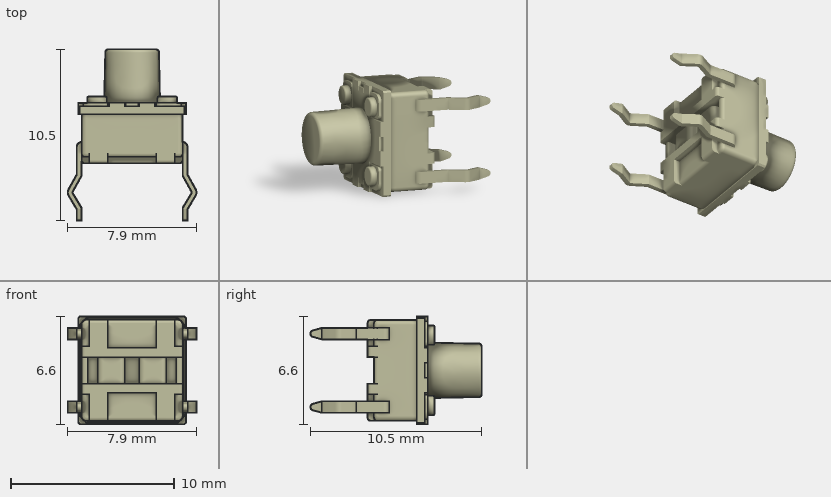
import cadquery as cq
import math


PLATE_WIDTH = 6.6
PLATE_CHAMFER = 0.1
PLATE_TOP = 0.7
RAISED_HEIGHT = 0.19
RIM_Y = PLATE_TOP - RAISED_HEIGHT
SEAT_HALF_WIDTH = 3.24
SEAT_CORNER_CUT = 0.49
SEAT_DEPTH = 0.1
SEAT_DRAFT = 45

PAD_INNER = 1.49
PAD_OUTER = 3.0
PAD_OUTER_RADIUS = 0.49
PAD_INNER_RADIUS = 0.26
CROSS_ARM_HALF_WIDTH = 1.39
SLOT_HALF_WIDTH = 0.45
TONGUE_HALF_WIDTH = 0.38
TONGUE_GAP_DEPTH = 0.29

BUTTON_TOP = 4.0
BUTTON_TOP_RADIUS = 1.65
BUTTON_BASE_RADIUS = 1.72
BUTTON_FILLET = 0.2
RIVET_RADIUS = 0.6
RIVET_OFFSET = 2.15
RIVET_HEIGHT = 0.4
RIVET_FILLET = 0.09

BODY_WIDTH = 6.2
BODY_HALF = BODY_WIDTH / 2
BODY_BOTTOM = -2.6
BODY_CORNER_RADIUS = 0.29
BOTTOM_FILLET = 0.21
BAR_BOTTOM = -3.0
BAR_INNER_Z = 0.81
BAR_STRIP_Z = 1.47
BAR_BLOCK_HALF_X = 2.61
POCKET_HALF_X = 1.49
POCKET_INNER_Z = 1.39

GROOVE_DEPTH = 0.6
GROOVE_FLOOR_FILLET = 0.09
RIDGE_FILLET = 0.3
RIM_FILLET = 0.1
MIDDLE_GROOVE_HALF_X = 0.44
SIDE_GROOVE_INNER_X = 2.1
SIDE_GROOVE_OUTER_X = 2.71

LEAD_THICKNESS = 0.3
LEAD_WIDTH = 0.72
LEAD_Z = 2.25
LEAD_TOP = -1.67
LEAD_TOP_RADIUS = 0.35
LEAD_REACH = 3.95
LEAD_APEX_Y = -4.78
LEAD_UPPER_ANGLE = 29
LEAD_LOWER_ANGLE = 31
LEAD_BEND_RADIUS = 0.4
TIP_START = -5.78
TIP_TAPER_END = -6.36
TIP_HALF_WIDTH = 0.2
LEAD_END = -6.5

SIGNS = (-1, 1)
QUADRANTS = [(sx, sz) for sx in SIGNS for sz in SIGNS]


def layer(y_top):
    """Sketch plane at height y_top whose extrusions run toward -Y."""
    return cq.Workplane("XZ", origin=(0, y_top, 0))


def block(x_range, y_range, z_range):
    """Box between the given (low, high) limits."""
    low, high = zip(x_range, y_range, z_range)
    sizes = [b - a for a, b in zip(low, high)]
    return cq.Workplane("XY").box(*sizes, centered=False).translate(low)


def to_quadrant(shape, sx, sz):
    """Mirror a shape built at +X +Z into the quadrant with the given signs."""
    if sx < 0:
        shape = shape.mirror("YZ")
    if sz < 0:
        shape = shape.mirror("XY")
    return shape


def make_plate():
    plate = layer(RIM_Y).rect(PLATE_WIDTH, PLATE_WIDTH).extrude(RIM_Y)
    plate = plate.edges("|Y").chamfer(PLATE_CHAMFER)
    outer = SEAT_HALF_WIDTH
    inner = SEAT_HALF_WIDTH - SEAT_CORNER_CUT
    corners = [(outer, -inner), (outer, inner), (inner, outer), (-inner, outer)]
    corners += [(-x, -y) for x, y in corners]
    seat = layer(0).polyline(corners).close().extrude(-SEAT_DEPTH, taper=SEAT_DRAFT)
    return plate.cut(seat)


def make_pad():
    """Rounded square around one rivet, at +X +Z."""
    middle = (PAD_OUTER + PAD_INNER) / 2
    size = PAD_OUTER - PAD_INNER
    pad = layer(PLATE_TOP).center(middle, middle).rect(size, size).extrude(RAISED_HEIGHT)
    pad = pad.edges("|Y").edges(">X and >Z").fillet(PAD_OUTER_RADIUS)
    return pad.edges("|Y").edges("(>X and <Z) or (<X and >Z)").fillet(PAD_INNER_RADIUS)


def make_cross():
    """Raised cross with a slot in the end of each arm; the slots at +Z and -Z hold a tongue."""
    half = PLATE_WIDTH / 2
    arm_width = 2 * CROSS_ARM_HALF_WIDTH
    cross = layer(PLATE_TOP).rect(PLATE_WIDTH, arm_width).extrude(RAISED_HEIGHT)
    cross = cross.union(layer(PLATE_TOP).rect(arm_width, PLATE_WIDTH).extrude(RAISED_HEIGHT))
    heights = (RIM_Y, PLATE_TOP)
    slot_width = (-SLOT_HALF_WIDTH, SLOT_HALF_WIDTH)
    tongue_width = (-TONGUE_HALF_WIDTH, TONGUE_HALF_WIDTH)
    side_slot = block((PAD_OUTER, half), heights, slot_width)
    slot = block(slot_width, heights, (PAD_OUTER - TONGUE_GAP_DEPTH, half))
    tongue = block(tongue_width, heights, (PAD_OUTER - TONGUE_GAP_DEPTH, PAD_OUTER))
    slot = slot.cut(tongue)
    cross = cross.cut(side_slot).cut(side_slot.mirror("YZ"))
    return cross.cut(slot).cut(slot.mirror("XY"))


def make_button():
    profile = [
        (0, RIM_Y),
        (BUTTON_BASE_RADIUS, RIM_Y),
        (BUTTON_BASE_RADIUS, PLATE_TOP),
        (BUTTON_TOP_RADIUS, BUTTON_TOP),
        (0, BUTTON_TOP),
    ]
    button = cq.Workplane("XY").polyline(profile).close().revolve(360, (0, 0), (0, 1))
    return button.faces(">Y").edges().fillet(BUTTON_FILLET)


def make_rivet():
    """Rivet head at +X +Z."""
    rivet = layer(PLATE_TOP + RIVET_HEIGHT).center(RIVET_OFFSET, RIVET_OFFSET).circle(RIVET_RADIUS)
    rivet = rivet.extrude(RIVET_HEIGHT + RAISED_HEIGHT)
    return rivet.faces(">Y").edges().fillet(RIVET_FILLET)


def make_housing():
    housing = layer(SEAT_DEPTH).rect(BODY_WIDTH, BODY_WIDTH).extrude(SEAT_DEPTH - BODY_BOTTOM)
    housing = housing.edges("|Y").fillet(BODY_CORNER_RADIUS)
    return housing.faces("<Y").edges().fillet(BOTTOM_FILLET)


def make_bar():
    """Bar under the housing on the +Z side: a full-width strip plus a block with a pocket."""
    heights = (BAR_BOTTOM, BODY_BOTTOM + BOTTOM_FILLET)
    strip = block((-BODY_HALF, BODY_HALF), heights, (BAR_INNER_Z, BAR_STRIP_Z))
    strip = strip.faces("<Y").edges("|Z").fillet(BOTTOM_FILLET)
    bar = block((-BAR_BLOCK_HALF_X, BAR_BLOCK_HALF_X), heights, (BAR_INNER_Z, BODY_HALF))
    bar = bar.faces("<Y").edges(">Z").fillet(BOTTOM_FILLET)
    pocket = block((-POCKET_HALF_X, POCKET_HALF_X), heights, (POCKET_INNER_Z, BODY_HALF))
    return bar.union(strip).cut(pocket)


def make_groove(left, right, left_mouth, right_mouth):
    """Cutter for a groove between walls at x = left and x = right with rounded mouth edges."""
    mouth = BODY_BOTTOM
    floor = BODY_BOTTOM + GROOVE_DEPTH
    corner = GROOVE_FLOOR_FILLET
    groove = (
        cq.Workplane("XY", origin=(0, 0, -BAR_INNER_Z))
        .moveTo(left - left_mouth, mouth)
        .radiusArc((left, mouth + left_mouth), -left_mouth)
        .lineTo(left, floor - corner)
        .radiusArc((left + corner, floor), corner)
        .lineTo(right - corner, floor)
        .radiusArc((right, floor - corner), corner)
        .lineTo(right, mouth + right_mouth)
        .radiusArc((right + right_mouth, mouth), -right_mouth)
        .close()
    )
    return groove.extrude(2 * BAR_INNER_Z)


def make_lead():
    """Kinked lead with a tapered tip, at +X +Z."""
    inner_x = BODY_HALF
    outer_x = BODY_HALF + LEAD_THICKNESS
    root_x = outer_x - LEAD_TOP_RADIUS
    root_y = LEAD_TOP - LEAD_TOP_RADIUS
    bend_x = LEAD_REACH - LEAD_BEND_RADIUS

    def slope(straight_x, radius, degrees):
        """Ends of a sloped stretch, as (x, distance from the apex): at the straight, at the bend arc."""
        angle = math.radians(degrees)
        span = (radius + (bend_x - straight_x) * math.cos(angle)) / math.sin(angle)
        return (straight_x, span), (bend_x + radius * math.cos(angle), radius * math.sin(angle))

    def kink(straight_x, radius):
        """Points down one face of the lead: straight part, bend arc (three points), straight part."""
        upper_end, upper_arc = slope(straight_x, radius, LEAD_UPPER_ANGLE)
        lower_end, lower_arc = slope(straight_x, radius, LEAD_LOWER_ANGLE)
        above = [(x, LEAD_APEX_Y + rise) for x, rise in (upper_end, upper_arc)]
        below = [(x, LEAD_APEX_Y - drop) for x, drop in (lower_arc, lower_end)]
        return above + [(bend_x + radius, LEAD_APEX_Y)] + below

    outer = kink(outer_x, LEAD_BEND_RADIUS)
    inner = kink(inner_x, LEAD_BEND_RADIUS - LEAD_THICKNESS)
    side = (
        cq.Workplane("XY")
        .moveTo(root_x, LEAD_TOP)
        .radiusArc((outer_x, root_y), LEAD_TOP_RADIUS)
        .lineTo(*outer[0])
        .lineTo(*outer[1])
        .threePointArc(outer[2], outer[3])
        .lineTo(*outer[4])
        .lineTo(outer_x, LEAD_END)
        .lineTo(inner_x, LEAD_END)
        .lineTo(*inner[4])
        .lineTo(*inner[3])
        .threePointArc(inner[2], inner[1])
        .lineTo(*inner[0])
        .lineTo(inner_x, root_y)
        .lineTo(root_x, root_y)
        .close()
        .extrude(LEAD_WIDTH / 2, both=True)
    )
    half = LEAD_WIDTH / 2
    face = (
        cq.Workplane("YZ")
        .moveTo(LEAD_TOP, half)
        .lineTo(TIP_START, half)
        .lineTo(TIP_TAPER_END, TIP_HALF_WIDTH)
        .threePointArc((LEAD_END, 0), (TIP_TAPER_END, -TIP_HALF_WIDTH))
        .lineTo(TIP_START, -half)
        .lineTo(LEAD_TOP, -half)
        .close()
        .extrude(LEAD_REACH)
    )
    return side.intersect(face).translate((0, 0, LEAD_Z))


bar = make_bar()
result = make_housing().union(bar).union(bar.mirror("XY"))

side_groove = make_groove(SIDE_GROOVE_INNER_X, SIDE_GROOVE_OUTER_X, RIDGE_FILLET, RIM_FILLET)
result = result.cut(make_groove(-MIDDLE_GROOVE_HALF_X, MIDDLE_GROOVE_HALF_X, RIDGE_FILLET, RIDGE_FILLET))
result = result.cut(side_groove).cut(side_groove.mirror("YZ"))

result = result.union(make_plate()).union(make_cross()).union(make_button())

for sign_x, sign_z in QUADRANTS:
    for feature in (make_pad(), make_rivet(), make_lead()):
        result = result.union(to_quadrant(feature, sign_x, sign_z))